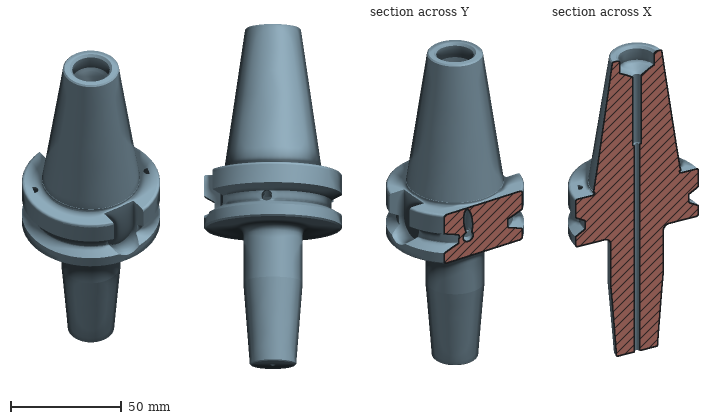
import cadquery as cq
import math

total_length = 155.4
nose_cone_top = 38.2
flange_bottom = 63.0
lower_rim_top = 68.5
upper_rim_bottom = 78.5
flange_top = 88.1
collar_bottom = 89.2
gauge_plane = 90.0

nose_radius = 10.5
shank_radius = 13.5
flange_diameter = 63.0
flange_radius = flange_diameter / 2
groove_radius = 26.5
collar_radius = 22.4
undercut_radius = 21.8
taper_large_radius = 22.2
taper_small_radius = 12.7

nose_chamfer = 0.5
shank_fillet = 3.0
flange_bottom_chamfer = 0.8
flange_top_fillet = 1.2
taper_end_chamfer = 0.6
groove_flank_angle = 30
groove_fillet = 0.5
undercut_fillet = 1.0

bore_radius = 8.5
bore_mouth_chamfer = 1.1
bore_depth = 7.0
bore_step_height = 0.8
drill_point_radius = 6.8
drill_point_angle = 118
pilot_radius = 2.0
pilot_depth = 46.6
coolant_radius = 1.2

slot_width = 16.2
slot_floor = 22.5
slot_bottom = 66.5

port_direction = 250
port_radius = 2.2
port_distance = 27.0
port_tilt = 20
plug_radius = 2.5
plug_height = 73.3
plug_depth = 6.2


def revolved_body():
    flank_angle = math.radians(groove_flank_angle)
    flank_rise = (flange_radius - groove_radius) * math.tan(flank_angle)
    groove_corner = lower_rim_top + flank_rise
    fillet_reach = groove_fillet * math.tan((math.pi / 2 - flank_angle) / 2)
    return (
        cq.Workplane("XZ")
        .lineTo(nose_radius - nose_chamfer, 0)
        .lineTo(nose_radius, nose_chamfer)
        .lineTo(shank_radius, nose_cone_top)
        .lineTo(shank_radius, flange_bottom - shank_fillet)
        .radiusArc((shank_radius + shank_fillet, flange_bottom), shank_fillet)
        .lineTo(flange_radius - flange_bottom_chamfer, flange_bottom)
        .lineTo(flange_radius, flange_bottom + flange_bottom_chamfer)
        .lineTo(flange_radius, lower_rim_top)
        .lineTo(
            groove_radius + fillet_reach * math.cos(flank_angle),
            groove_corner - fillet_reach * math.sin(flank_angle),
        )
        .radiusArc((groove_radius, groove_corner + fillet_reach), groove_fillet)
        .lineTo(groove_radius, upper_rim_bottom - flank_rise)
        .lineTo(flange_radius, upper_rim_bottom)
        .lineTo(flange_radius, flange_top - flange_top_fillet)
        .radiusArc((flange_radius - flange_top_fillet, flange_top), -flange_top_fillet)
        .lineTo(undercut_radius + undercut_fillet, flange_top)
        .radiusArc((undercut_radius, flange_top + undercut_fillet), undercut_fillet)
        .lineTo(undercut_radius, collar_bottom)
        .lineTo(collar_radius, collar_bottom)
        .lineTo(collar_radius, gauge_plane)
        .lineTo(taper_large_radius, gauge_plane)
        .lineTo(taper_small_radius, total_length - taper_end_chamfer)
        .lineTo(taper_small_radius - taper_end_chamfer, total_length)
        .lineTo(0, total_length)
        .close()
        .revolve(360, (0, 0, 0), (0, 1, 0))
    )


def stepped_bore():
    bore_bottom = total_length - bore_depth
    cone_top = bore_bottom - bore_step_height
    cone_height = (drill_point_radius - pilot_radius) / math.tan(math.radians(drill_point_angle / 2))
    pilot_top = cone_top - cone_height
    pilot_bottom = total_length - pilot_depth
    return (
        cq.Workplane("XZ")
        .lineTo(coolant_radius, 0)
        .lineTo(coolant_radius, pilot_bottom)
        .lineTo(pilot_radius, pilot_bottom)
        .lineTo(pilot_radius, pilot_top)
        .lineTo(drill_point_radius, cone_top)
        .lineTo(bore_radius, bore_bottom)
        .lineTo(bore_radius, total_length - bore_mouth_chamfer)
        .lineTo(bore_radius + bore_mouth_chamfer, total_length)
        .lineTo(0, total_length)
        .close()
        .revolve(360, (0, 0, 0), (0, 1, 0))
    )


def drive_slot(side):
    """Round-bottomed slot cut radially into the flange; side is +1 or -1 along X."""
    half_width = slot_width / 2
    round_center = slot_bottom + half_width
    return (
        cq.Workplane("YZ", origin=(side * slot_floor, 0, 0))
        .moveTo(-half_width, flange_top)
        .lineTo(-half_width, round_center)
        .threePointArc((0, slot_bottom), (half_width, round_center))
        .lineTo(half_width, flange_top)
        .close()
        .extrude(side * flange_radius)
    )


def coolant_port(direction):
    """Inclined hole from the flange top, met by a radial plug hole from the groove."""
    tilt = math.radians(port_tilt)
    drop = flange_top - plug_height
    inclined = cq.Solid.makeCylinder(
        port_radius,
        drop / math.cos(tilt),
        cq.Vector(port_distance, 0, flange_top),
        cq.Vector(-math.sin(tilt), 0, -math.cos(tilt)),
    )
    radial = cq.Solid.makeCylinder(
        plug_radius,
        plug_depth + flange_radius - groove_radius,
        cq.Vector(groove_radius - plug_depth, 0, plug_height),
        cq.Vector(1, 0, 0),
    )
    return cq.Workplane(inclined.fuse(radial)).rotate((0, 0, 0), (0, 0, 1), direction)


result = revolved_body().cut(stepped_bore())
for side in (1, -1):
    result = result.cut(drive_slot(side))
for direction in (port_direction, port_direction + 180):
    result = result.cut(coolant_port(direction))